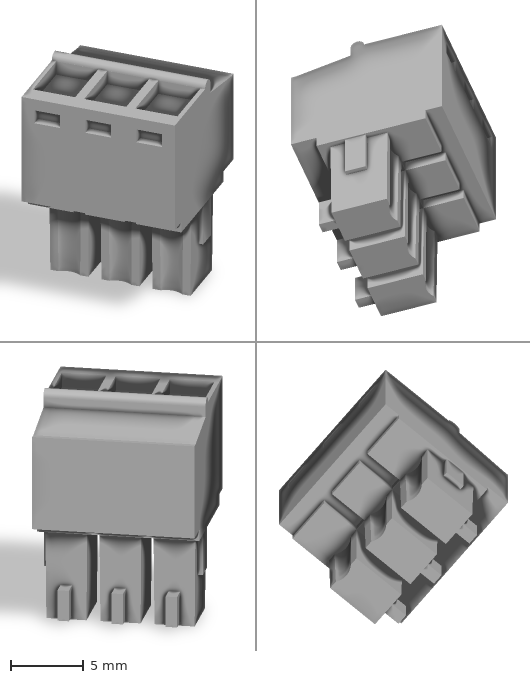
import cadquery as cq
import math


POLES = 3
PITCH = 11.43 / POLES
POLE_XS = [PITCH * (i - (POLES - 1) / 2) for i in range(POLES)]

WIDTH = POLES * PITCH
DEPTH = 11.1
HEIGHT = 16.1
TOP_Z = 15.63
SHOULDER_Z = 7.4
SKIRT_Z = 6.6
SKIRT_FRONT_Y = 1.2
SKIRT_BACK_Y = 9.21
BACK_Z = 14.15
BACK_STRIP = 0.4
SLOPE_ANGLE = 10.0

RIDGE_RADIUS = 0.5
RIDGE_Y = 6.21

POCKET_WIDTH = 3.14
POCKET_DEPTH = 1.05
POCKET_FRONT_Y = 1.32
POCKET_BACK_Y = RIDGE_Y - RIDGE_RADIUS
POCKET_FLOOR_Z = TOP_Z - POCKET_DEPTH
WINDOW_WIDTH = 1.9
WINDOW_HEIGHT = 1.01
WINDOW_TOP_Z = 14.76
WINDOW_DEPTH = 0.7

PRONG_WIDTH = 2.95
PRONG_FRONT_Y = 4.15
PRONG_BACK_Y = 8.34
PRONG_DRAFT = 0.5
FLUTE_CHORD = 1.75
FLUTE_DEPTH = 0.32

PEG_WIDTH = 0.8
PEG_BACK_Y = 9.56
PEG_BOTTOM_Z = 0.29
PEG_TOP_Z = 2.51

RIB_OUTER_X = 5.6
RIB_FRONT_Y = 5.64
RIB_BACK_Y = 7.16
RIB_BOTTOM_Z = 3.41


def box(x0, x1, y0, y1, z0, z1):
    """Axis-aligned box between two corners."""
    return cq.Workplane("XY").box(x1 - x0, y1 - y0, z1 - z0, centered=False).translate((x0, y0, z0))


def box_at(x, width, y0, y1, z0, z1):
    """Box of a given width centred on x."""
    return box(x - width / 2, x + width / 2, y0, y1, z0, z1)


def housing_block():
    """Side profile with the sloped roof and the ridge, swept across the width."""
    ridge_z = HEIGHT - RIDGE_RADIUS
    ridge_back_y = RIDGE_Y + RIDGE_RADIUS
    strip_y = DEPTH - BACK_STRIP
    slope_top_z = BACK_Z + (strip_y - ridge_back_y) * math.tan(math.radians(SLOPE_ANGLE))
    ridge_front_y = RIDGE_Y - math.sqrt(RIDGE_RADIUS**2 - (TOP_Z - ridge_z) ** 2)
    return (
        cq.Workplane("YZ", origin=(-WIDTH / 2, 0, 0))
        .moveTo(0, SHOULDER_Z)
        .lineTo(0, TOP_Z)
        .lineTo(ridge_front_y, TOP_Z)
        .threePointArc((RIDGE_Y, HEIGHT), (ridge_back_y, ridge_z))
        .lineTo(ridge_back_y, slope_top_z)
        .lineTo(strip_y, BACK_Z)
        .lineTo(DEPTH, BACK_Z)
        .lineTo(DEPTH, SHOULDER_Z)
        .lineTo(SKIRT_BACK_Y, SHOULDER_Z)
        .lineTo(SKIRT_BACK_Y, SKIRT_Z)
        .lineTo(SKIRT_FRONT_Y, SKIRT_Z)
        .lineTo(SKIRT_FRONT_Y, SHOULDER_Z)
        .close()
        .extrude(WIDTH)
    )


def skirt_slot(x):
    """Slot in the front of the skirt, in the gap between two prongs."""
    return box_at(x, PITCH - PRONG_WIDTH, SKIRT_FRONT_Y, PRONG_FRONT_Y, SKIRT_Z, SHOULDER_Z)


def window(x):
    """Blind rectangular window in the front face."""
    return box_at(x, WINDOW_WIDTH, 0, WINDOW_DEPTH, WINDOW_TOP_Z - WINDOW_HEIGHT, WINDOW_TOP_Z)


def pocket(x):
    """Wire pocket, including the space that the clamp block fills."""
    return box_at(x, POCKET_WIDTH, POCKET_FRONT_Y, POCKET_BACK_Y, SHOULDER_Z, TOP_Z)


def prong(x):
    """Drafted prong with an upright flute in its front and a peg on its back."""
    middle_y = (PRONG_FRONT_Y + PRONG_BACK_Y) / 2
    body = (
        cq.Workplane("XY", origin=(x, middle_y, SKIRT_Z))
        .rect(PRONG_WIDTH, PRONG_BACK_Y - PRONG_FRONT_Y)
        .extrude(-SKIRT_Z, taper=PRONG_DRAFT)
    )
    flute_radius = (FLUTE_CHORD**2 / 4 + FLUTE_DEPTH**2) / (2 * FLUTE_DEPTH)
    flute_y = PRONG_FRONT_Y + FLUTE_DEPTH - flute_radius
    flute = cq.Workplane("XY", origin=(x, flute_y, 0)).circle(flute_radius).extrude(SKIRT_Z)
    peg = box_at(x, PEG_WIDTH, middle_y, PEG_BACK_Y, PEG_BOTTOM_Z, PEG_TOP_Z)
    return body.cut(flute).union(peg)


def guide_rib(side):
    """Rib on the outer side of an end prong; side is -1 for left, 1 for right."""
    inner_x = POLE_XS[-1]
    center_x = side * (inner_x + RIB_OUTER_X) / 2
    return box_at(center_x, RIB_OUTER_X - inner_x, RIB_FRONT_Y, RIB_BACK_Y, RIB_BOTTOM_Z, SKIRT_Z)


def make_housing():
    body = housing_block()
    for x in POLE_XS[:-1]:
        body = body.cut(skirt_slot(x + PITCH / 2))
    for x in POLE_XS:
        body = body.cut(window(x)).cut(pocket(x)).union(prong(x))
    for side in (-1, 1):
        body = body.union(guide_rib(side))
    return body


def make_clamp(x):
    """Clamp block that fills the lower part of a pocket, its top forming the floor."""
    return box_at(x, POCKET_WIDTH, POCKET_FRONT_Y, POCKET_BACK_Y, SHOULDER_Z, POCKET_FLOOR_Z)


housing = make_housing()
clamps = [make_clamp(x) for x in POLE_XS]

result = cq.Compound.makeCompound([housing.val(), *[clamp.val() for clamp in clamps]])